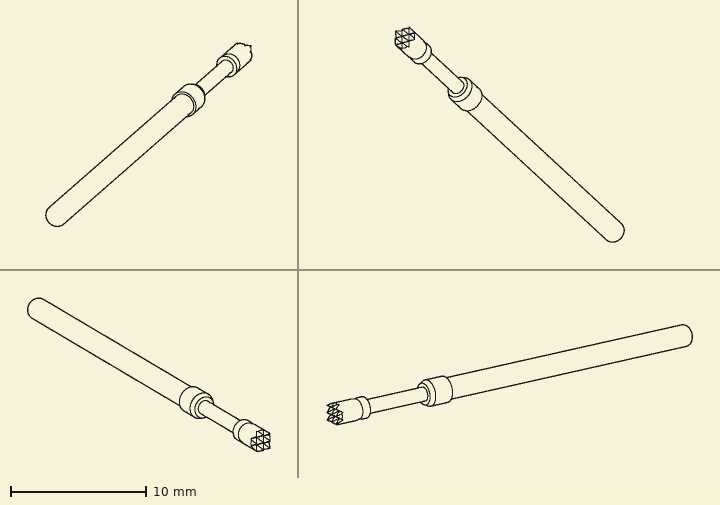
import cadquery as cq
import math

length = 32.3
tip_y = length / 2
tail_y = -length / 2

collar_radius = 2.0 / 2
barrel_radius = 1.65 / 2
head_radius = barrel_radius
groove_radius = 1.52 / 2
plunger_radius = 1.05 / 2
tail_fillet = 0.42

head_end = 2.0
groove_end = 2.6
flange_end = 2.95
collar_start = 8.33
collar_end = 10.25
collar_chamfer_length = 0.4

tooth_rows = 3
tooth_pitch = 0.58
tooth_angle = 63.0
tooth_depth = tooth_pitch / 2 / math.tan(math.radians(tooth_angle / 2))


def make_body():
    """Revolve the stepped half profile of the probe about the Y axis."""
    groove_middle = (head_end + groove_end) / 2
    profile = (
        cq.Workplane("XY")
        .moveTo(0, tip_y)
        .lineTo(head_radius, tip_y)
        .lineTo(head_radius, tip_y - head_end)
        .lineTo(groove_radius, tip_y - groove_middle)
        .lineTo(head_radius, tip_y - groove_end)
        .lineTo(head_radius, tip_y - flange_end)
        .lineTo(plunger_radius, tip_y - flange_end)
        .lineTo(plunger_radius, tip_y - collar_start)
        .lineTo(barrel_radius, tip_y - collar_start)
        .lineTo(collar_radius, tip_y - collar_start - collar_chamfer_length)
        .lineTo(collar_radius, tip_y - collar_end)
        .lineTo(barrel_radius, tip_y - collar_end)
        .lineTo(barrel_radius, tail_y)
        .lineTo(0, tail_y)
        .close()
    )
    body = profile.revolve(360, (0, 0, 0), (0, 1, 0))
    return body.faces("<Y").edges().fillet(tail_fillet)


def make_v_cut(offset):
    """Triangular bar along Z that cuts one V valley centred at X = offset."""
    half_pitch = tooth_pitch / 2
    return (
        cq.Workplane("XY")
        .moveTo(offset - half_pitch, tip_y)
        .lineTo(offset, tip_y - tooth_depth)
        .lineTo(offset + half_pitch, tip_y)
        .close()
        .extrude(collar_radius, both=True)
    )


def cut_crown(body):
    """Cross V-cuts along Z and along X; the outermost ones bevel the rim."""
    for index in range(tooth_rows + 1):
        v_cut = make_v_cut((index - tooth_rows / 2) * tooth_pitch)
        body = body.cut(v_cut)
        body = body.cut(v_cut.rotate((0, 0, 0), (0, 1, 0), 90))
    return body


result = cut_crown(make_body())